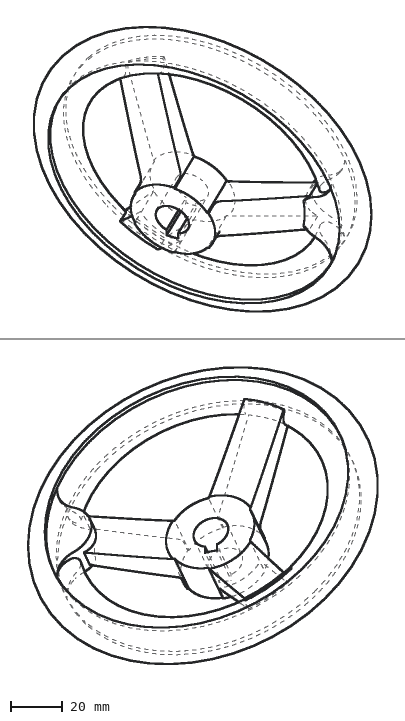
import cadquery as cq
import math

wheel_radius = 70.0
rim_half_width = 8.5
crest_radius = wheel_radius - rim_half_width
step_width = 0.4
step_depth = 2.1
lip_inner_radius = 50.4
lip_round = 4.2
lip_center_radius = lip_inner_radius + lip_round

hub_front = -29.4
hub_back = -10.5
hub_radius = 17.5
bore_radius = 7.0
keyway_width = 4.8
keyway_reach = 9.5

spoke_count = 3
spoke_foot_radius = 17.9
spoke_root_radius = 19.6
spoke_root_front = -21.4
spoke_front_angle = 30.0
spoke_back_angle = 24.0
spoke_back_radius = 18.0
spoke_fillet_front = -24.6
spoke_root_width = 19.6
spoke_tip_width = 18.2
spoke_tip_radius = 53.2

boss_center = 55.0
boss_radius = 12.2
boss_blend_radius = 11.2
boss_front = -(rim_half_width - step_depth)
boss_back = -boss_front


def disc(radius, front, back):
    """Cylinder about the wheel axis between two Y levels."""
    return extrude(cq.Workplane("XZ").circle(radius), front, back)


def extrude(outline, front, back):
    """Extrude an outline drawn on the XZ plane between two Y levels."""
    return outline.extrude(back - front).translate((0, back, 0))


def revolve(profile):
    """Revolve a radius-versus-Y profile about the wheel axis."""
    return profile.revolve(360, (0, 0, 0), (0, 1, 0))


def make_rim():
    """Rounded outside, recessed faces and a rounded inner lip."""
    flank_radius = crest_radius - step_width
    flank_end = rim_half_width - step_depth
    run = flank_radius - lip_center_radius
    touch_angle = math.atan2(flank_end, run) + math.acos(lip_round / math.hypot(run, flank_end))
    touch_radius = lip_center_radius + lip_round * math.cos(touch_angle)
    touch_y = lip_round * math.sin(touch_angle)
    profile = (
        cq.Workplane("XY")
        .moveTo(crest_radius, -rim_half_width)
        .threePointArc((wheel_radius, 0), (crest_radius, rim_half_width))
        .lineTo(flank_radius, rim_half_width)
        .lineTo(flank_radius, flank_end)
        .lineTo(touch_radius, touch_y)
        .threePointArc((lip_inner_radius, 0), (touch_radius, -touch_y))
        .lineTo(flank_radius, -flank_end)
        .lineTo(flank_radius, -rim_half_width)
        .close()
    )
    return revolve(profile)


def make_spokes():
    """Tapered arms whose front and back faces are cones about the wheel axis."""
    front_slope = math.tan(math.radians(spoke_front_angle))
    back_slope = math.tan(math.radians(spoke_back_angle))
    tip_front = spoke_root_front + front_slope * (spoke_tip_radius - spoke_root_radius)
    tip_back = hub_back + back_slope * (spoke_tip_radius - spoke_back_radius)
    swept_profile = revolve(
        cq.Workplane("XY")
        .moveTo(spoke_tip_radius, tip_front)
        .lineTo(spoke_root_radius, spoke_root_front)
        .tangentArcPoint((spoke_foot_radius, spoke_fillet_front), relative=False)
        .lineTo(spoke_foot_radius, hub_front)
        .lineTo(bore_radius, hub_front)
        .lineTo(bore_radius, hub_back)
        .lineTo(spoke_back_radius, hub_back)
        .lineTo(spoke_tip_radius, tip_back)
        .close()
    )
    arm = extrude(
        cq.Workplane("XZ").polyline([
            (0, -spoke_root_width / 2),
            (spoke_tip_radius, -spoke_tip_width / 2),
            (spoke_tip_radius, spoke_tip_width / 2),
            (0, spoke_root_width / 2),
        ]).close(),
        hub_front, rim_half_width,
    ).intersect(swept_profile)
    spokes = arm
    for index in range(1, spoke_count):
        spokes = spokes.union(arm.rotate((0, 0, 0), (0, 1, 0), index * 360 / spoke_count))
    return spokes


def make_handle_boss():
    """Round boss that flares into the rim through two concave blends."""
    blend_orbit = crest_radius - boss_blend_radius
    blend_gap = boss_radius + boss_blend_radius
    blend_x = (blend_orbit**2 + boss_center**2 - blend_gap**2) / (2 * boss_center)
    blend_z = math.sqrt(blend_orbit**2 - blend_x**2)
    boss_touch_x = boss_center + (blend_x - boss_center) * boss_radius / blend_gap
    boss_touch_z = blend_z * boss_radius / blend_gap
    rim_touch_x = blend_x * crest_radius / blend_orbit
    rim_touch_z = blend_z * crest_radius / blend_orbit
    toward_x = (boss_touch_x + rim_touch_x) / 2 - blend_x
    toward_z = (boss_touch_z + rim_touch_z) / 2 - blend_z
    shrink = boss_blend_radius / math.hypot(toward_x, toward_z)
    mid_x = blend_x + toward_x * shrink
    mid_z = blend_z + toward_z * shrink
    outline = (
        cq.Workplane("XZ")
        .moveTo(rim_touch_x, rim_touch_z)
        .threePointArc((mid_x, mid_z), (boss_touch_x, boss_touch_z))
        .threePointArc((boss_center - boss_radius, 0), (boss_touch_x, -boss_touch_z))
        .threePointArc((mid_x, -mid_z), (rim_touch_x, -rim_touch_z))
        .threePointArc((crest_radius, 0), (rim_touch_x, rim_touch_z))
        .close()
    )
    return extrude(outline, boss_front, boss_back)


hub = disc(hub_radius, hub_front, hub_back)
bore = disc(bore_radius, hub_front, hub_back)
keyway = extrude(
    cq.Workplane("XZ").center(0, -keyway_reach / 2).rect(keyway_width, keyway_reach),
    hub_front, hub_back,
)

result = make_rim().union(make_spokes()).union(make_handle_boss())
result = result.union(hub).cut(bore).cut(keyway)